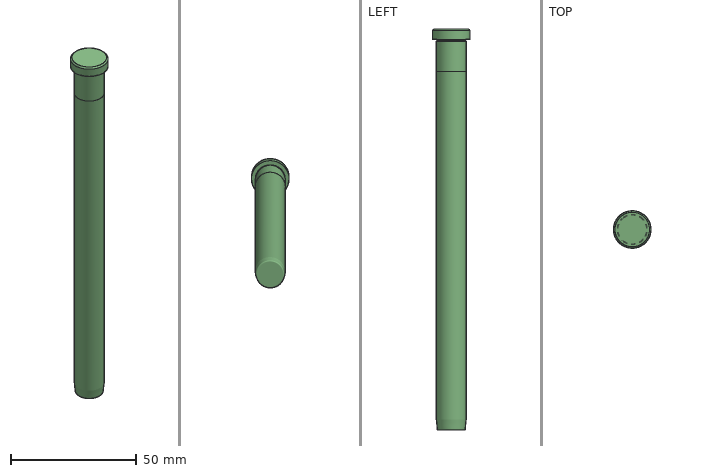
import cadquery as cq
import math

total_length = 160.0
head_diameter = 15.0
pin_diameter = 12.0

head_height = 4.2
head_chamfer = 0.6
relief_width = 0.8
relief_depth = 0.24
collar_length = 12.8

lead_length = 4.2
lead_angle = 5.5
tip_fillet = 0.5

pin_radius = pin_diameter / 2
relief_radius = pin_radius - relief_depth
head_underside = total_length - head_height
split_level = head_underside - collar_length
tip_radius = pin_radius - lead_length * math.tan(math.radians(lead_angle))


def make_head():
    """Chamfered head and the fitting collar below it, with an undercut between them."""
    head = (
        cq.Workplane("XY", origin=(0, 0, head_underside))
        .circle(head_diameter / 2)
        .extrude(head_height)
        .faces(">Z")
        .edges()
        .chamfer(head_chamfer)
    )
    collar = (
        cq.Workplane("XZ")
        .moveTo(0, split_level)
        .lineTo(pin_radius, split_level)
        .lineTo(pin_radius, head_underside - relief_width)
        .lineTo(relief_radius, head_underside - relief_width + relief_depth)
        .lineTo(relief_radius, head_underside)
        .lineTo(0, head_underside)
        .close()
        .revolve(360, (0, 0, 0), (0, 1, 0))
    )
    return head.union(collar)


def make_shaft():
    """Long round shaft with a tapered lead and a rounded tip."""
    shaft = (
        cq.Workplane("XZ")
        .lineTo(tip_radius, 0)
        .lineTo(pin_radius, lead_length)
        .lineTo(pin_radius, split_level)
        .lineTo(0, split_level)
        .close()
        .revolve(360, (0, 0, 0), (0, 1, 0))
    )
    return shaft.faces("<Z").edges().fillet(tip_fillet)


head = make_head()
shaft = make_shaft()

result = cq.Compound.makeCompound([head.val(), shaft.val()])